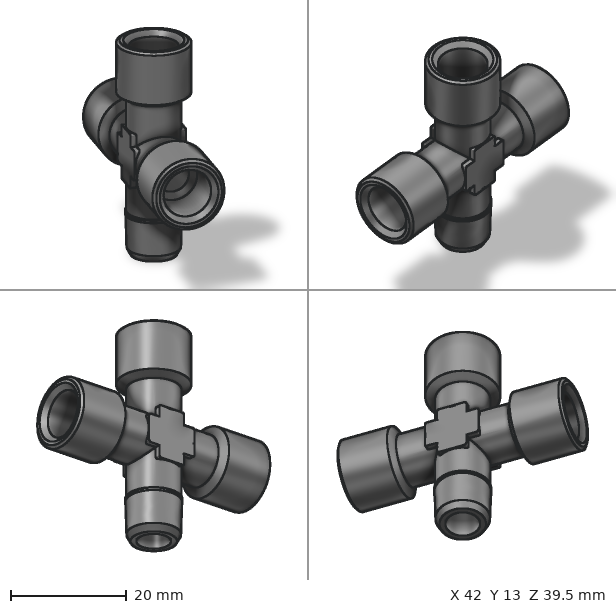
import cadquery as cq

reach = 21.0
pipe_radius = 9.6 / 2
bore_radius = 6.0 / 2

socket_radius = 13.0 / 2
socket_length = 9.55
shoulder_length = 0.95
rim_radius = 5.92
rim_length = 0.4
thread_radius = 8.55 / 2
mouth_radius = 5.3
mouth_depth = mouth_radius - thread_radius
thread_depth = 9.25
drill_tip_length = 0.75

spigot_reach = 18.5
collar_start = 10.4
collar_end = 11.0
collar_radius = 10.0 / 2
collar_chamfer = 0.13
taper_large_radius = 9.85 / 2
taper_end = 17.18
taper_small_radius = 9.5 / 2
tip_radius = 4.05

pad_span = 10.0
pad_arm_width = 5.45
pad_corner_radius = 0.38


def revolve_profile(points):
    """Turn (radius, height) points around Z."""
    return cq.Workplane("XZ").polyline(points).close().revolve(360, (0, 0, 0), (0, 1, 0))


def socket_outside():
    shoulder_top = reach - socket_length
    return revolve_profile([
        (0, 0),
        (pipe_radius, 0),
        (pipe_radius, shoulder_top - shoulder_length),
        (socket_radius, shoulder_top),
        (socket_radius, reach - rim_length),
        (rim_radius, reach),
        (0, reach),
    ])


def socket_cavity():
    thread_bottom = reach - thread_depth
    return revolve_profile([
        (0, 0),
        (bore_radius, 0),
        (bore_radius, thread_bottom - drill_tip_length),
        (thread_radius, thread_bottom),
        (thread_radius, reach - mouth_depth),
        (mouth_radius, reach),
        (0, reach),
    ])


def spigot_outside():
    return revolve_profile([
        (0, 0),
        (pipe_radius, 0),
        (pipe_radius, -collar_start),
        (collar_radius - collar_chamfer, -collar_start),
        (collar_radius, -collar_start - collar_chamfer),
        (collar_radius, -collar_end),
        (taper_large_radius, -collar_end),
        (taper_small_radius, -taper_end),
        (tip_radius, -spigot_reach),
        (0, -spigot_reach),
    ])


def pad_bar(length_x, length_z):
    return cq.Workplane("XY").box(length_x, pad_span, length_z).edges("|Y").fillet(pad_corner_radius)


body = spigot_outside()
body = body.union(pad_bar(pad_span, pad_arm_width))
body = body.union(pad_bar(pad_arm_width, pad_span))

socket_tilts = (-90, 0, 90)
for tilt in socket_tilts:
    body = body.union(socket_outside().rotate((0, 0, 0), (0, 1, 0), tilt))

for tilt in socket_tilts:
    body = body.cut(socket_cavity().rotate((0, 0, 0), (0, 1, 0), tilt))
spigot_bore = cq.Workplane("XY").circle(bore_radius).extrude(-spigot_reach)

result = body.cut(spigot_bore)